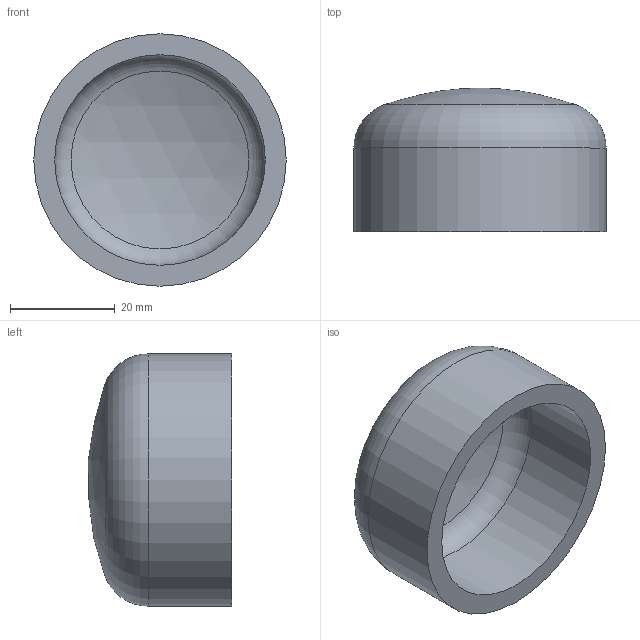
import cadquery as cq
import math

outer_diameter = 48.3
wall = 4.0
skirt_length = 16.0
inner_crown_radius = outer_diameter
inner_knuckle_radius = 0.1 * outer_diameter

outer_radius = outer_diameter / 2
inner_radius = outer_radius - wall
outer_crown_radius = inner_crown_radius + wall
outer_knuckle_radius = inner_knuckle_radius + wall

knuckle_center_x = inner_radius - inner_knuckle_radius
center_distance = inner_crown_radius - inner_knuckle_radius
crown_half_angle = math.asin(knuckle_center_x / center_distance)
crown_center_y = skirt_length - center_distance * math.cos(crown_half_angle)
axis_start = (0, 0, 0)
axis_end = (0, 1, 0)


def knuckle_point(radius, angle):
    """Point on a knuckle arc, with the angle measured from the +Y direction."""
    return (
        knuckle_center_x + radius * math.sin(angle),
        skirt_length + radius * math.cos(angle),
    )


def skirt_and_knuckle():
    """Straight ring plus rounded knuckle, ending on the cone where the crown begins."""
    middle_angle = (math.pi / 2 + crown_half_angle) / 2
    profile = (
        cq.Workplane("XY")
        .moveTo(inner_radius, 0)
        .lineTo(outer_radius, 0)
        .lineTo(outer_radius, skirt_length)
        .threePointArc(
            knuckle_point(outer_knuckle_radius, middle_angle),
            knuckle_point(outer_knuckle_radius, crown_half_angle),
        )
        .lineTo(*knuckle_point(inner_knuckle_radius, crown_half_angle))
        .threePointArc(
            knuckle_point(inner_knuckle_radius, middle_angle),
            (inner_radius, skirt_length),
        )
        .close()
    )
    return profile.revolve(360, axis_start, axis_end)


def crown():
    """Spherical shell segment inside a cone with its apex at the crown centre."""
    cone_height = 2 * outer_crown_radius
    cone_radius = cone_height * math.tan(crown_half_angle)
    cone = (
        cq.Workplane("XY")
        .lineTo(cone_radius, cone_height)
        .lineTo(0, cone_height)
        .close()
        .revolve(360, axis_start, axis_end)
    )
    outer_ball = cq.Workplane("XY").sphere(outer_crown_radius)
    inner_ball = cq.Workplane("XY").sphere(inner_crown_radius)
    segment = outer_ball.intersect(cone).cut(inner_ball)
    return segment.translate((0, crown_center_y, 0))


result = skirt_and_knuckle().union(crown())